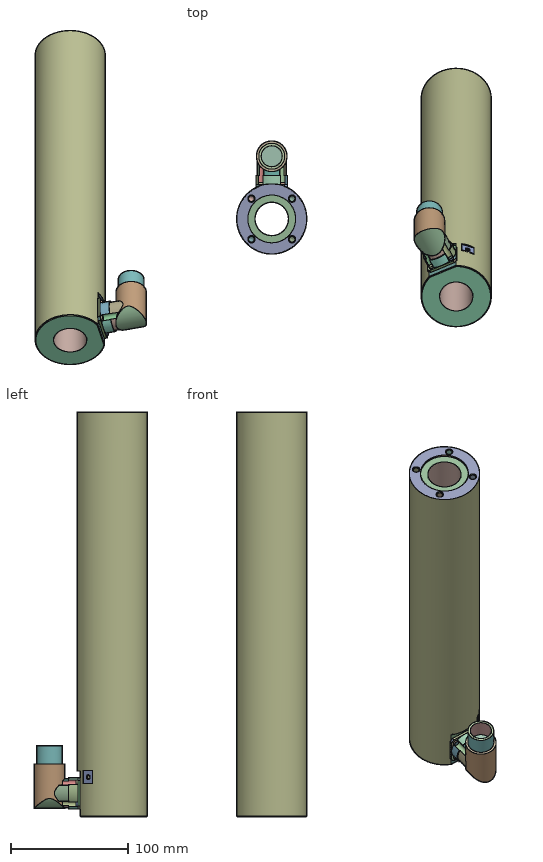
import cadquery as cq
import math

BODY_LENGTH = 345.0
BODY_RADIUS = 30.0
BORE_RADIUS = 14.0
FOOT_CHAMFER = 0.7
RECESS_RADIUS = 20.5
RECESS_DEPTH = 1.7

TOP_HOLE_CIRCLE_RADIUS = 24.5
TOP_HOLE_RADIUS = 2.5
TOP_HOLE_DEPTH = 8.5
TOP_HOLE_COUNT = 4

HOLE_COUNTERSINK = 0.7
DRILL_POINT_ANGLE = 118.0

FLAT_Y = 27.3
FLAT_HEIGHT = 39.0

PAD_ANGLE = 135.0
PAD_DISTANCE = 29.0
PAD_WIDTH = 11.0
PAD_CENTER_Z = 33.8
PAD_HOLE_RADIUS = 1.5
PAD_HOLE_DEPTH = 5.2

CONNECTOR_Z = 20.0
FLANGE_SIZE = 27.0
FLANGE_THICKNESS = 2.0
FLANGE_CORNER_CHAMFER = 2.5
COLLAR_RADIUS = FLANGE_SIZE / 2
COLLAR_LENGTH = 8.0
NECK_RADIUS = 12.5
SCREW_OFFSET = 9.3
SCREW_HEAD_RADIUS = 2.0
SCREW_HEAD_HEIGHT = 1.7
SCREW_CHANNEL_RADIUS = 2.6

ELBOW_RADIUS = 13.0
ELBOW_FAR_Y = 66.5
ELBOW_Y = ELBOW_FAR_Y - ELBOW_RADIUS
ELBOW_BOTTOM_Z = 7.2
ELBOW_UNDERSIDE_RADIUS = 14.5
ELBOW_TOP_Z = 45.2
SLEEVE_RADIUS = 11.0
SLEEVE_BORE_RADIUS = 9.0
SLEEVE_TOP_Z = 60.7

COLLAR_Y = FLAT_Y + FLANGE_THICKNESS
NECK_Y = COLLAR_Y + COLLAR_LENGTH


def upright_cylinder(radius, bottom_z, top_z, y=0.0):
    return cq.Workplane("XY", origin=(0, y, bottom_z)).circle(radius).extrude(top_z - bottom_z)


def connector_plane(y):
    """Plane across the connector axis, facing +Y."""
    return cq.Workplane(cq.Plane(origin=(0, y, CONNECTOR_Z), xDir=(-1, 0, 0), normal=(0, 1, 0)))


def drilled_hole(radius, depth):
    """Cutter for a hole going down from Z = 0, with a countersunk mouth and a conical drill point."""
    point_depth = radius / math.tan(math.radians(DRILL_POINT_ANGLE / 2))
    return (
        cq.Workplane("XZ")
        .moveTo(0, 0)
        .lineTo(radius + HOLE_COUNTERSINK, 0)
        .lineTo(radius, -HOLE_COUNTERSINK)
        .lineTo(radius, -depth)
        .lineTo(0, -depth - point_depth)
        .close()
        .revolve(360, (0, 0), (0, 1))
    )


def make_body():
    body = upright_cylinder(BODY_RADIUS, 0, BODY_LENGTH)

    flat_cutter = cq.Workplane("XY", origin=(0, FLAT_Y, 0)).box(
        2 * BODY_RADIUS, BODY_RADIUS, FLAT_HEIGHT, centered=(True, False, False)
    )
    body = body.cut(flat_cutter).faces("<Z").chamfer(FOOT_CHAMFER)

    body = body.cut(upright_cylinder(BORE_RADIUS, 0, BODY_LENGTH))
    return body.cut(upright_cylinder(RECESS_RADIUS, BODY_LENGTH - RECESS_DEPTH, BODY_LENGTH))


def cut_top_holes(body):
    hole = drilled_hole(TOP_HOLE_RADIUS, TOP_HOLE_DEPTH)
    hole = hole.translate((TOP_HOLE_CIRCLE_RADIUS, 0, BODY_LENGTH))
    pitch = 360 / TOP_HOLE_COUNT
    for index in range(TOP_HOLE_COUNT):
        body = body.cut(hole.rotate((0, 0, 0), (0, 0, 1), pitch * (index + 0.5)))
    return body


def cut_side_pad(body):
    pocket = cq.Workplane("XY", origin=(PAD_DISTANCE, 0, PAD_CENTER_Z)).box(
        BODY_RADIUS, PAD_WIDTH, PAD_WIDTH, centered=(False, True, True)
    )
    hole = drilled_hole(PAD_HOLE_RADIUS, PAD_HOLE_DEPTH)
    hole = hole.rotate((0, 0, 0), (0, 1, 0), 90).translate((PAD_DISTANCE, 0, PAD_CENTER_Z))
    cutter = pocket.union(hole).rotate((0, 0, 0), (0, 0, 1), PAD_ANGLE)
    return body.cut(cutter)


def make_flanged_neck():
    """Flange, collar and neck, with four screws in channels along the corners."""
    screw_pitch = 2 * SCREW_OFFSET
    neck = connector_plane(NECK_Y).circle(NECK_RADIUS).extrude(ELBOW_Y - NECK_Y)
    collar = connector_plane(COLLAR_Y).circle(COLLAR_RADIUS).extrude(COLLAR_LENGTH)
    channels = (
        connector_plane(COLLAR_Y)
        .rarray(screw_pitch, screw_pitch, 2, 2)
        .circle(SCREW_CHANNEL_RADIUS)
        .extrude(ELBOW_Y - COLLAR_Y)
    )
    flange = (
        connector_plane(FLAT_Y)
        .rect(FLANGE_SIZE, FLANGE_SIZE)
        .extrude(FLANGE_THICKNESS)
        .edges("|Y")
        .chamfer(FLANGE_CORNER_CHAMFER)
    )
    screw_heads = (
        connector_plane(COLLAR_Y)
        .rarray(screw_pitch, screw_pitch, 2, 2)
        .circle(SCREW_HEAD_RADIUS)
        .extrude(SCREW_HEAD_HEIGHT)
    )
    return neck.union(collar).cut(channels).union(flange).union(screw_heads)


def make_elbow():
    """Upright cylinder whose underside is rounded across X."""
    upright = upright_cylinder(ELBOW_RADIUS, ELBOW_BOTTOM_Z, ELBOW_TOP_Z, ELBOW_Y)
    underside_center_z = ELBOW_BOTTOM_Z + ELBOW_UNDERSIDE_RADIUS
    rounded_envelope = (
        cq.Workplane("XZ", origin=(0, ELBOW_Y, 0))
        .moveTo(-ELBOW_UNDERSIDE_RADIUS, ELBOW_TOP_Z)
        .lineTo(-ELBOW_UNDERSIDE_RADIUS, underside_center_z)
        .threePointArc((0, ELBOW_BOTTOM_Z), (ELBOW_UNDERSIDE_RADIUS, underside_center_z))
        .lineTo(ELBOW_UNDERSIDE_RADIUS, ELBOW_TOP_Z)
        .close()
        .extrude(ELBOW_UNDERSIDE_RADIUS, both=True)
    )
    sleeve = upright_cylinder(SLEEVE_RADIUS, ELBOW_TOP_Z, SLEEVE_TOP_Z, ELBOW_Y)
    sleeve_bore = upright_cylinder(SLEEVE_BORE_RADIUS, ELBOW_TOP_Z, SLEEVE_TOP_Z, ELBOW_Y)
    return upright.intersect(rounded_envelope).union(sleeve.cut(sleeve_bore))


body = cut_side_pad(cut_top_holes(make_body()))
connector = make_flanged_neck().union(make_elbow())
result = body.union(connector)